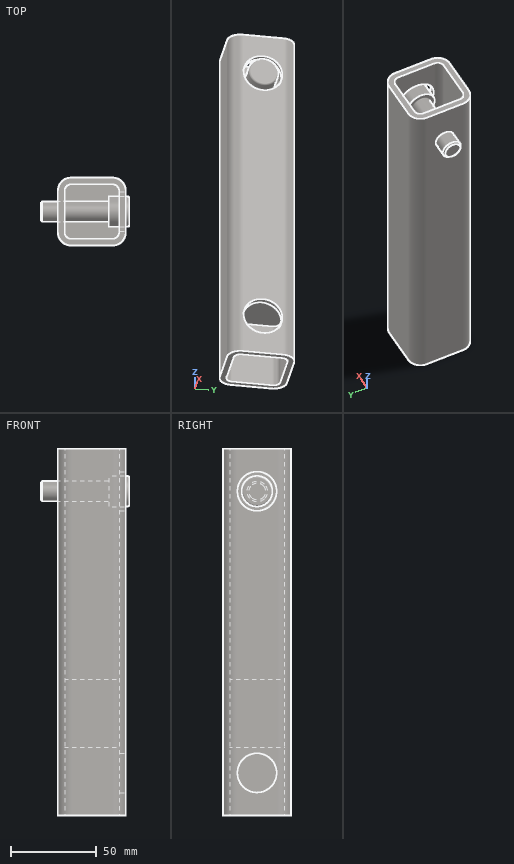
import cadquery as cq

tube_width = 40.0
tube_length = 215.0
wall = 4.0
outer_radius = 8.0
inner_radius = outer_radius - wall
bore_width = tube_width - 2 * wall
half_width = tube_width / 2

opening_end_distance = 25.0
lower_opening_height = opening_end_distance
pin_height = tube_length - opening_end_distance
head_opening_diameter = 23.0

shank_diameter = 12.0
head_diameter = 18.0
head_length = 12.0
tip_projection = 10.0
head_projection = 2.0
tip_chamfer = 1.1
head_rounding = 1.2
neck_fillet = 0.5
tip_x = -half_width - tip_projection
head_end_x = half_width + head_projection
neck_x = head_end_x - head_length

plug_bottom = 40.0
plug_length = 40.0


def x_cylinder(diameter, start_x, end_x, height):
    """Cylinder along X, at the given height on the tube's centre plane."""
    return (
        cq.Workplane("YZ", origin=(start_x, 0, height))
        .circle(diameter / 2)
        .extrude(end_x - start_x)
    )


def square_bar(width, corner_radius, bottom, length):
    """Upright square bar with rounded corners."""
    return (
        cq.Workplane("XY", origin=(0, 0, bottom))
        .rect(width, width)
        .extrude(length)
        .edges("|Z")
        .fillet(corner_radius)
    )


def make_tube():
    """Square tube with a shank hole in the -X wall and two large openings in the +X wall."""
    bore = square_bar(bore_width, inner_radius, 0, tube_length)
    shank_hole = x_cylinder(shank_diameter, -half_width, 0, pin_height)
    body = square_bar(tube_width, outer_radius, 0, tube_length).cut(bore).cut(shank_hole)
    for height in (lower_opening_height, pin_height):
        body = body.cut(x_cylinder(head_opening_diameter, 0, half_width, height))
    return body


def make_pin():
    """Headed pin with a chamfered tip, a rounded head rim and a fillet under the head."""
    shank = x_cylinder(shank_diameter, tip_x, neck_x, pin_height)
    shank = shank.faces("<X").chamfer(tip_chamfer)
    head = x_cylinder(head_diameter, neck_x, head_end_x, pin_height)
    head = head.faces(">X").edges().fillet(head_rounding)
    neck_circle = cq.selectors.RadiusNthSelector(0)
    neck_plane = cq.selectors.BoxSelector(
        (neck_x - neck_fillet, -head_diameter, pin_height - head_diameter),
        (neck_x + neck_fillet, head_diameter, pin_height + head_diameter),
    )
    return shank.union(head).edges("%CIRCLE").edges(neck_plane).edges(neck_circle).fillet(neck_fillet)


def make_plug():
    """Solid plug that fits the bore."""
    return square_bar(bore_width, inner_radius, plug_bottom, plug_length)


tube = make_tube()
pin = make_pin()
plug = make_plug()
result = cq.Compound.makeCompound([tube.val(), pin.val(), plug.val()])